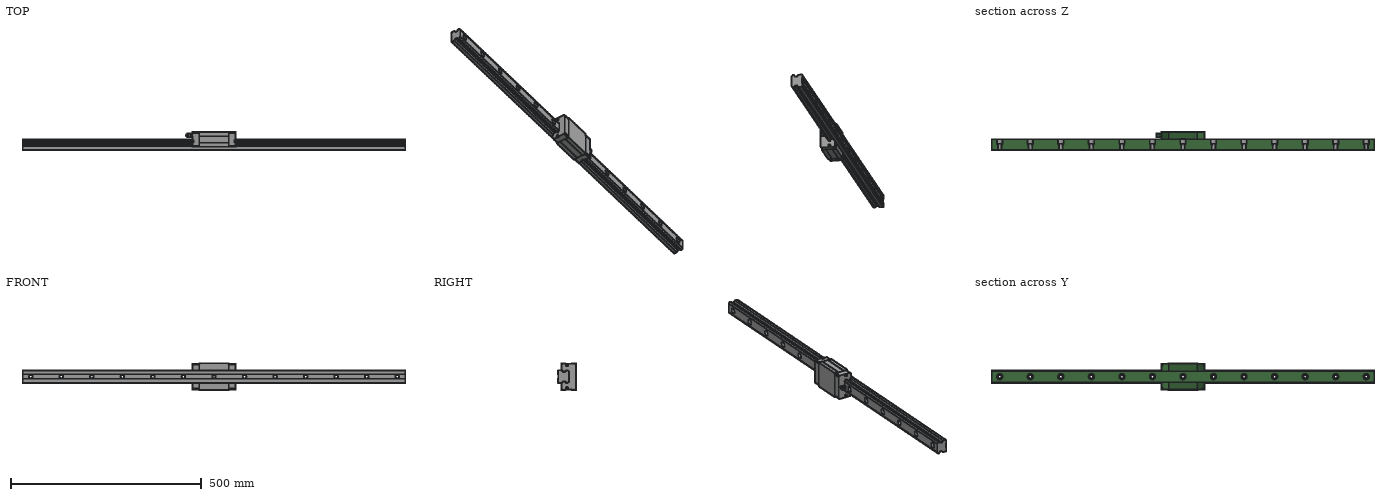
import cadquery as cq
import math

rail_length = 1002.0
rail_width = 34.0
rail_height = 29.0
rail_top_chamfer = 4.0
rail_bottom_chamfer = 1.5
head_bottom_height = 23.0
neck_top_height = 19.0
neck_bottom_height = 14.0
base_top_height = 10.0
neck_width = 25.0
relief_width = 12.0
relief_depth = 1.0

hole_count = 13
end_margin = 21.0
hole_pitch = (rail_length - 2 * end_margin) / (hole_count - 1)
hole_diameter = 9.0
counterbore_diameter = 14.0
counterbore_depth = 12.0

block_length = 77.0
block_width = 70.0
block_bottom = 9.0
block_top = 48.0
plate_thickness = 18.0
plate_width = 68.0
plate_bottom = 9.0
plate_top = 48.0
plate_chamfer = 3.0
running_clearance = 0.3

side_recess_bottom = 20.0
side_recess_top = 37.0
side_recess_depth = 0.7

screw_hole_diameter = 6.0
screw_hole_depth = 3.0
screw_hole_height = 24.0
screw_hole_offset = 30.0

nipple_height = 39.0
stem_diameter = 6.0
stem_length = 4.0
collar_diameter = 10.0
collar_length = 9.0
tip_angle = 50.0
neck_diameter = 4.9
neck_length = 7.0
head_diameter = 6.6
head_length = 2.0
nose_diameter = 3.2
nose_length = 2.0
orifice_diameter = 2.0
orifice_depth = 4.0

carriage_end = block_length / 2 + plate_thickness


def extrude_along_x(profile, length):
    """Turn a profile drawn in the YZ plane into a bar centred on X = 0."""
    return profile.extrude(length / 2, both=True)


def rail_profile():
    """Closed outline of the rail, as half an outline mirrored about Z = 0."""
    half_width = rail_width / 2
    half_neck = neck_width / 2
    half_outline = [
        (0, half_width - rail_bottom_chamfer),
        (rail_bottom_chamfer, half_width),
        (base_top_height, half_width),
        (neck_bottom_height, half_neck),
        (neck_top_height, half_neck),
        (head_bottom_height, half_width),
        (rail_height - rail_top_chamfer, half_width),
        (rail_height, half_width - rail_top_chamfer),
    ]
    mirrored = [(y, -z) for y, z in reversed(half_outline)]
    return cq.Workplane("YZ").polyline(half_outline + mirrored).close()


def make_rail():
    rail = extrude_along_x(rail_profile(), rail_length)
    relief = cq.Workplane("XY").box(rail_length, 2 * relief_depth, relief_width)
    rail = rail.cut(relief)
    first_hole = end_margin - rail_length / 2
    centres = [(first_hole + i * hole_pitch, 0) for i in range(hole_count)]
    top_plane = cq.Workplane("XZ", origin=(0, rail_height, 0)).pushPoints(centres)
    through_holes = top_plane.circle(hole_diameter / 2).extrude(rail_height)
    counterbores = top_plane.circle(counterbore_diameter / 2).extrude(counterbore_depth)
    return rail.cut(through_holes).cut(counterbores)


def carriage_bar(length, width, bottom, top):
    """Rectangular bar of the carriage, centred on X = 0 and Z = 0."""
    height = top - bottom
    return cq.Workplane("XY").box(length, height, width).translate((0, bottom + height / 2, 0))


def rail_passage():
    """The rail's section grown by the running clearance, for cutting through the carriage."""
    return extrude_along_x(rail_profile().offset2D(running_clearance, "intersection"), rail_length)


def make_block():
    block = carriage_bar(block_length, block_width, block_bottom, block_top).cut(rail_passage())
    recess_height = side_recess_top - side_recess_bottom
    for side in (-1, 1):
        recess = cq.Workplane("XY").box(block_length, recess_height, 2 * side_recess_depth)
        recess_centre = (0, side_recess_bottom + recess_height / 2, side * block_width / 2)
        block = block.cut(recess.translate(recess_centre))
    return block


def make_end_plate(side):
    """End plate on the -X (side = -1) or +X (side = 1) end of the block."""
    plate = carriage_bar(plate_thickness, plate_width, plate_bottom, plate_top)
    plate = plate.edges("|X").chamfer(plate_chamfer)
    plate = plate.translate((side * (block_length + plate_thickness) / 2, 0, 0))
    plate = plate.cut(rail_passage())
    screw_holes = (
        cq.Workplane("YZ", origin=(side * carriage_end, 0, 0))
        .pushPoints([(screw_hole_height, z) for z in (-screw_hole_offset, screw_hole_offset)])
        .circle(screw_hole_diameter / 2)
        .extrude(-side * screw_hole_depth)
    )
    return plate.cut(screw_holes)


def rod(start, direction, diameter, length):
    """Cylinder that starts at a point and runs along a direction in the XZ plane."""
    plane = cq.Plane(origin=start, xDir=(0, 1, 0), normal=direction)
    return cq.Workplane(plane).circle(diameter / 2).extrude(length)


def make_grease_nipple():
    outward = cq.Vector(-1, 0, 0)
    angle = math.radians(tip_angle)
    tipward = cq.Vector(-math.cos(angle), 0, math.sin(angle))

    stem_start = cq.Vector(-carriage_end, nipple_height, 0)
    collar_start = stem_start + outward * stem_length
    bend = collar_start + outward * (collar_length / 2)
    head_start = bend + tipward * neck_length
    nose_start = head_start + tipward * head_length
    mouth = nose_start + tipward * nose_length

    stem = rod(stem_start, outward, stem_diameter, stem_length)
    collar = rod(collar_start, outward, collar_diameter, collar_length)
    neck = rod(bend, tipward, neck_diameter, neck_length)
    head = rod(head_start, tipward, head_diameter, head_length)
    nose = cq.Workplane(
        cq.Solid.makeCone(head_diameter / 2, nose_diameter / 2, nose_length, nose_start, tipward)
    )
    orifice = rod(mouth, -tipward, orifice_diameter, orifice_depth)
    return stem.union(collar).union(neck).union(head).union(nose).cut(orifice)


rail = make_rail()
block = make_block()
end_plates = [make_end_plate(side) for side in (-1, 1)]
grease_nipple = make_grease_nipple()

result = cq.Compound.makeCompound(
    [rail.val(), block.val(), *[plate.val() for plate in end_plates], grease_nipple.val()]
)